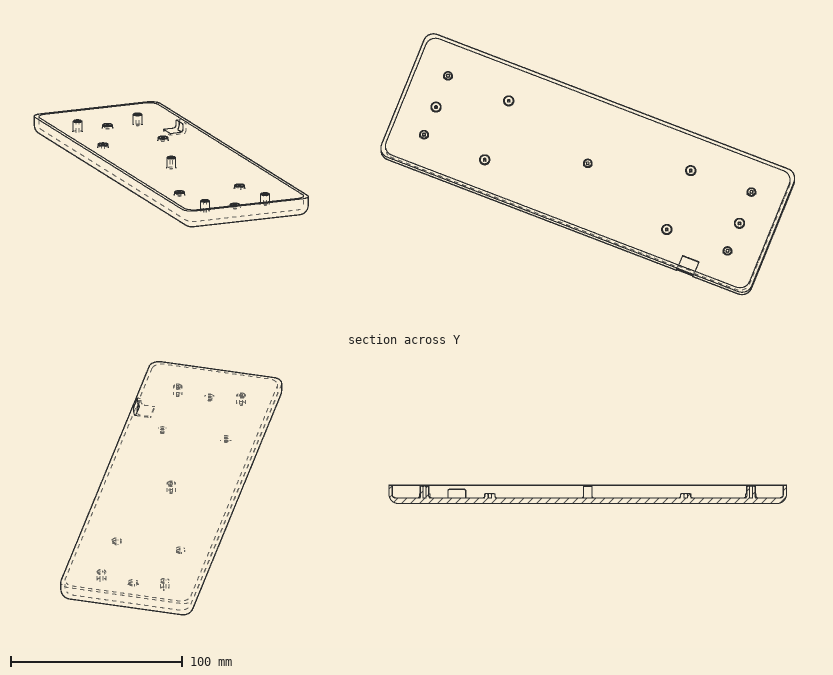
import cadquery as cq
import math

length = 231.5
width = 79.2
height = 11.0
corner_radius = 6.0
bottom_radius = 5.5

wall = 2.0
floor = 3.5
cavity_edge_radius = 1.9

grid_pitch = 19.0
end_column = 5 * grid_pitch
inner_column = 3 * grid_pitch
post_base_fillet = 1.0
post_top_chamfer = 0.5
screw_hole_diameter = 1.6
tall_post_diameter = 5.0
tall_post_height = 7.0
short_post_diameter = 6.0
short_post_height = 2.5

port_center_x = -76.2
port_width = 10.2
port_front_y = 29.6
port_bottom = 2.3
port_top = 8.3
port_edge_radius = 0.8


def rounded_block(size_x, size_y, base_z, top_z, edge_radius):
    """Block with rounded vertical corners and a rounded bottom edge."""
    block = cq.Workplane("XY").workplane(offset=base_z).rect(size_x, size_y).extrude(top_z - base_z)
    block = block.edges("|Z").fillet(corner_radius)
    return block.faces("<Z").edges().fillet(edge_radius)


def make_post(diameter, post_height):
    """Round post at the origin, flared at its foot, with a screw hole down to the floor."""
    radius = diameter / 2
    hole_radius = screw_hole_diameter / 2
    foot_radius = radius + post_base_fillet
    root_z = -floor / 2
    flare_bend = post_base_fillet * (1 - math.sqrt(0.5))
    profile = (
        cq.Workplane("XZ")
        .moveTo(hole_radius, root_z)
        .lineTo(foot_radius, root_z)
        .lineTo(foot_radius, 0)
        .threePointArc((radius + flare_bend, flare_bend), (radius, post_base_fillet))
        .lineTo(radius, post_height - post_top_chamfer)
        .lineTo(radius - post_top_chamfer, post_height)
        .lineTo(hole_radius, post_height)
        .close()
    )
    return profile.revolve(360, (0, 0, 0), (0, 1, 0))


def add_posts(body, post, places):
    """Join a copy of the post to the floor at each place."""
    for x, y in places:
        body = body.union(post.translate((x, y, floor)))
    return body


def make_port():
    """Cutter for the port, with its edges rounded along Y."""
    depth = width / 2 - port_front_y
    cutter = cq.Workplane("XY").box(port_width, depth, port_top - port_bottom, centered=(True, False, False))
    cutter = cutter.edges("|Y").fillet(port_edge_radius)
    return cutter.translate((port_center_x, port_front_y, port_bottom))


def four_places(column):
    """Places mirrored about both axes, one grid step off the long centre line."""
    return [(x, y) for x in (-column, column) for y in (-grid_pitch, grid_pitch)]


shell = rounded_block(length, width, 0, height, bottom_radius)
cavity = rounded_block(length - 2 * wall, width - 2 * wall, floor, height, cavity_edge_radius)
tray = shell.cut(cavity)

tall_places = four_places(end_column) + [(0, 0)]
tray = add_posts(tray, make_post(tall_post_diameter, tall_post_height), tall_places)

short_places = four_places(inner_column) + [(-end_column, 0), (end_column, 0)]
tray = add_posts(tray, make_post(short_post_diameter, short_post_height), short_places)

result = tray.cut(make_port())